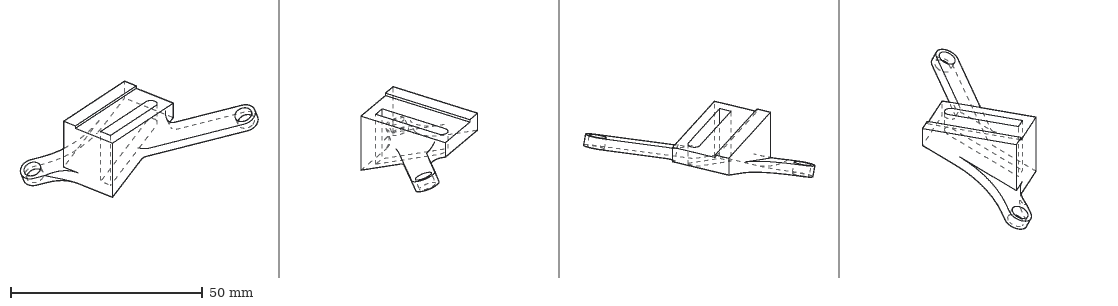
import cadquery as cq
import math

length = 49.6
height = 21.6

tilt = math.radians(25)
plate_thickness = 3.0
lug_radius = 3.25
hole_diameter = 4.5
arm_angle = math.radians(41.2)

block_left = 10.85
block_width = 16.2
block_front = 6.55
block_depth = 25.95
block_top = 19.0
lip_width = 3.9
lip_height = 0.75

slot_left = 21.0
slot_width = 3.25
slot_front = 9.35
slot_length = 20.9

left_blend = 22.5
front_blend = 12.0
right_blend = 2.0

block_right = block_left + block_width
block_back = block_front + block_depth
underside_start_y = plate_thickness * math.sin(tilt)
plate_length = (height - plate_thickness * math.cos(tilt)) / math.sin(tilt)
front_edge_v = (block_front - underside_start_y) / math.cos(tilt)
low_lug = (lug_radius, lug_radius)
high_lug = (length - lug_radius, plate_length - lug_radius)
arm_dir = (math.cos(arm_angle), math.sin(arm_angle))
arm_normal = (-arm_dir[1], arm_dir[0])
arm_slope = math.tan(arm_angle)

plate_plane = cq.Workplane(
    cq.Plane(
        origin=(0, underside_start_y, 0),
        xDir=(1, 0, 0),
        normal=(0, -math.sin(tilt), math.cos(tilt)),
    )
)


def along(point, direction, distance):
    """Point at a distance from another, along a unit direction."""
    return (point[0] + distance * direction[0], point[1] + distance * direction[1])


def arm_line_v(point, x):
    """Height v at x of the arm edge that passes through a point."""
    return point[1] + (x - point[0]) * arm_slope


def underside_z(y):
    return (y - underside_start_y) * math.tan(tilt)


def drilled(plate, center):
    """Drill a lug hole square to the plate."""
    hole = plate_plane.center(*center).circle(hole_diameter / 2).extrude(plate_thickness)
    return plate.cut(hole)


def make_block():
    low_front = (block_front, underside_z(block_front))
    low_back = (block_back, underside_z(block_back))

    def wedge(width, top):
        corners = [low_front, low_back, (block_back, top), (block_front, top)]
        return cq.Workplane("YZ", origin=(block_left, 0, 0)).polyline(corners).close().extrude(width)

    block = wedge(block_width, block_top).union(wedge(lip_width, block_top + lip_height))
    slot_radius = slot_width / 2
    slot = (
        cq.Workplane("XY")
        .moveTo(slot_left, slot_front)
        .lineTo(slot_left + slot_width, slot_front)
        .lineTo(slot_left + slot_width, slot_front + slot_length - slot_radius)
        .threePointArc(
            (slot_left + slot_radius, slot_front + slot_length),
            (slot_left, slot_front + slot_length - slot_radius),
        )
        .close()
        .extrude(height)
    )
    return block.cut(slot)


def make_low_arm():
    """Lower lug, blended into the left side and the front edge of the block."""
    upper_tangent = along(low_lug, arm_normal, lug_radius)
    lower_tangent = along(low_lug, arm_normal, -lug_radius)

    left_corner = (block_left, arm_line_v(upper_tangent, block_left))
    left_setback = left_blend * math.tan((math.pi / 2 - arm_angle) / 2)
    left_start = along(left_corner, arm_dir, -left_setback)
    left_end = (block_left, left_corner[1] + left_setback)

    front_corner_x = lower_tangent[0] + (front_edge_v - lower_tangent[1]) / arm_slope
    front_setback = front_blend * math.tan(arm_angle / 2)
    front_start = along((front_corner_x, front_edge_v), arm_dir, -front_setback)
    front_end = (front_corner_x + front_setback, front_edge_v)

    arm = (
        plate_plane.moveTo(*lower_tangent)
        .lineTo(*front_start)
        .tangentArcPoint(front_end, relative=False)
        .lineTo(front_end[0], left_end[1])
        .lineTo(*left_end)
        .radiusArc(left_start, left_blend)
        .lineTo(*upper_tangent)
        .threePointArc(along(low_lug, arm_dir, -lug_radius), lower_tangent)
        .close()
        .extrude(plate_thickness)
    )

    trim_start = (front_start[0], front_start[1] * math.cos(tilt))
    trim_end = (front_end[0], block_front)
    run = trim_end[0] - trim_start[0]
    rise = trim_end[1] - trim_start[1]
    trim_radius = (run**2 + rise**2) / (2 * rise)
    trim = (
        cq.Workplane("XY")
        .moveTo(*trim_start)
        .radiusArc(trim_end, trim_radius)
        .lineTo(trim_end[0], 0)
        .lineTo(trim_start[0], 0)
        .close()
        .extrude(height)
    )
    return drilled(arm.cut(trim), low_lug)


def make_high_arm():
    """Upper lug, blended into the right side of the block in plan and in section."""
    upper_tangent = along(high_lug, arm_normal, lug_radius)
    lower_tangent = along(high_lug, arm_normal, -lug_radius)
    root_x = block_right - right_blend / 2

    upper_corner = (block_right, arm_line_v(upper_tangent, block_right))
    upper_setback = right_blend * math.tan((math.pi / 2 + arm_angle) / 2)
    upper_start = along(upper_corner, arm_dir, upper_setback)
    upper_end = (block_right, upper_corner[1] + upper_setback)

    lower_corner = (block_right, arm_line_v(lower_tangent, block_right))
    lower_setback = right_blend * math.tan((math.pi / 2 - arm_angle) / 2)
    lower_start = along(lower_corner, arm_dir, lower_setback)
    lower_end = (block_right, lower_corner[1] - lower_setback)

    cove_top = plate_thickness + right_blend
    outline_prism = (
        plate_plane.moveTo(root_x, lower_end[1])
        .lineTo(*lower_end)
        .radiusArc(lower_start, right_blend)
        .lineTo(*lower_tangent)
        .threePointArc(along(high_lug, arm_dir, lug_radius), upper_tangent)
        .lineTo(*upper_start)
        .radiusArc(upper_end, right_blend)
        .lineTo(root_x, upper_end[1])
        .close()
        .extrude(cove_top)
    )

    section_plane = cq.Plane(
        origin=(0, underside_start_y, 0),
        xDir=(1, 0, 0),
        normal=(0, math.cos(tilt), math.sin(tilt)),
    )
    section_prism = (
        cq.Workplane(section_plane)
        .moveTo(root_x, 0)
        .lineTo(length, 0)
        .lineTo(length, -plate_thickness)
        .lineTo(block_right + right_blend, -plate_thickness)
        .radiusArc((block_right, -cove_top), -right_blend)
        .lineTo(root_x, -cove_top)
        .close()
        .extrude(plate_length)
    )
    arm = outline_prism.intersect(section_prism)
    return drilled(arm, high_lug)


result = make_block().union(make_low_arm()).union(make_high_arm())